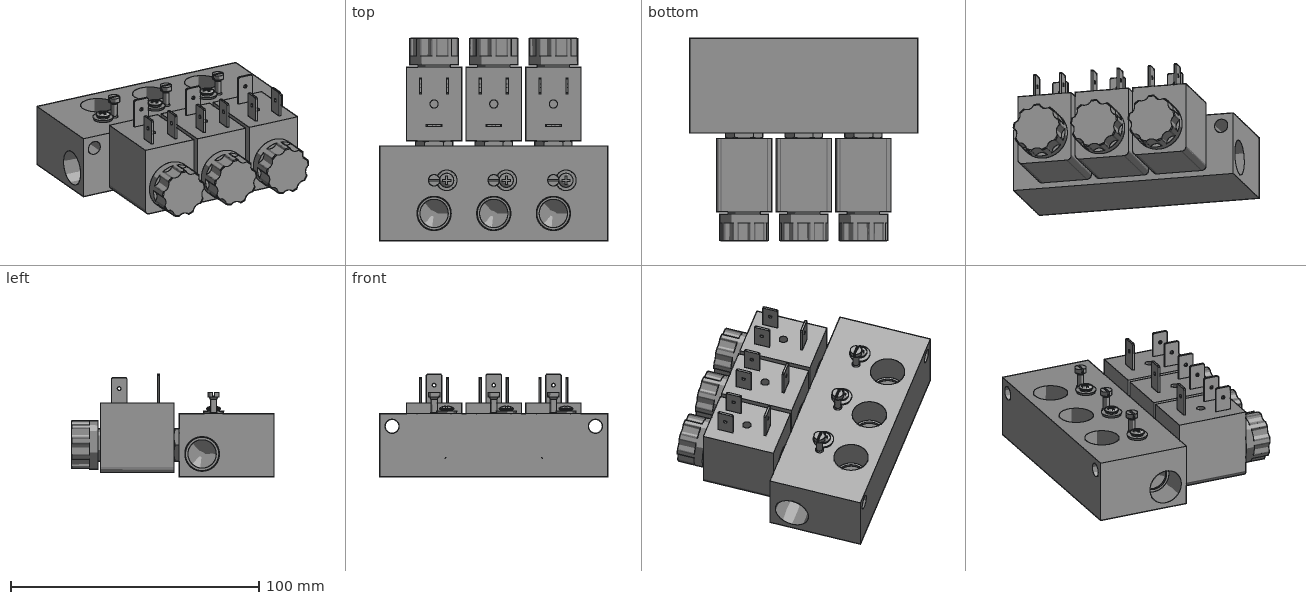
import cadquery as cq
import math

BLOCK_LENGTH = 92.1
BLOCK_DEPTH = 38.3
BLOCK_HEIGHT = 25.4
MOUNT_HOLE_DIAMETER = 5.5
MOUNT_HOLE_INSET = 5.1

STATION_COUNT = 3
STATION_PITCH = 24.0
STATION_XS = [(i - (STATION_COUNT - 1) / 2) * STATION_PITCH for i in range(STATION_COUNT)]

PORT_BORE_RADIUS = 5.7
PORT_MOUTH_DEPTH = 11.05
PORT_MOUTH_TAPER = 0.3
PORT_BORE_DEPTH = 12
DRILL_TIP_ANGLE = 118
TIP_DEPTH = PORT_BORE_RADIUS / math.tan(math.radians(DRILL_TIP_ANGLE / 2))
TOP_PORT_RADIUS = 6.9
TOP_PORT_Y = 11.05
END_PORT_RADIUS = 7.0
END_PORT_Y = 29.0
END_PORT_Z = 9.2

SOLENOID_Z = 12.8
HEX_ACROSS_FLATS = 13.2
HEX_ACROSS_CORNERS = HEX_ACROSS_FLATS / math.cos(math.pi / 6)
HEX_LENGTH = 2.0
HEX_CHAMFER = 0.5

COIL_WIDTH = 22.4
COIL_LENGTH = 29.65
COIL_BOTTOM_Z = 1.7
COIL_TOP_Z = 29.8
COIL_BOTTOM_FILLET = 1.8
COIL_FRONT_Y = BLOCK_DEPTH + HEX_LENGTH
COIL_BACK_Y = COIL_FRONT_Y + COIL_LENGTH
COIL_HOLE_DIAMETER = 3.3
COIL_HOLE_DEPTH = 7.4
COIL_HOLE_Y = COIL_FRONT_Y + COIL_LENGTH / 2

BLADE_WIDTH = 6.35
BLADE_THICKNESS = 0.8
BLADE_CHAMFER = 0.5
BLADE_HOLE_DIAMETER = 1.4
BLADE_HOLE_DROP = 4.4
SIDE_BLADE_HEIGHT = 10.1
SIDE_BLADE_OFFSET = 5.4
SIDE_BLADE_Y = 62.4
FRONT_BLADE_HEIGHT = 11.5
FRONT_BLADE_Y = 46.5

NECK_LENGTH = 0.9
KNOB_RADIUS = 9.85
KNOB_CHAMFER_LENGTH = 0.5
KNOB_CHAMFER_DEPTH = 0.2
KNOB_LENGTH = 10.8
KNOB_START_Y = COIL_BACK_Y + NECK_LENGTH
FLUTE_COUNT = 9
FLUTE_RADIUS = 2.95
FLUTE_HALF_WIDTH = 2.3
FLUTE_LENGTH = 7.3
FLUTE_EDGE_FILLET = 0.3
FLUTE_CENTRE_RADIUS = math.sqrt(KNOB_RADIUS**2 - FLUTE_HALF_WIDTH**2) + math.sqrt(
    FLUTE_RADIUS**2 - FLUTE_HALF_WIDTH**2
)

SCREW_Y = 24.4
FOOT_RADIUS = 1.7
FOOT_HEIGHT = 0.55
SHANK_RADIUS = 1.3
SHANK_TOP = 5.8
HEAD_NECK_RADIUS = 1.75
HEAD_BOTTOM = 6.7
HEAD_RADIUS = 2.3
HEAD_TOP = 8.7
SLOT_WIDTH = 0.7
SLOT_DEPTH = 1.5

LOCK_SCREW_OFFSET = 5.1
WASHER_BOTTOM_RADIUS = 3.8
WASHER_TOP_RADIUS = 4.1
WASHER_HEIGHT = 1.0
LOCK_NECK_RADIUS = 2.4
LOCK_NECK_TOP = 1.6
LOCK_HEAD_RADIUS = 2.9
LOCK_HEAD_EDGE_BOTTOM = 1.8
LOCK_HEAD_EDGE_TOP = 2.2
LOCK_HEAD_TOP = 3.1
CROSS_SPAN = 3.3
CROSS_WIDTH = 0.8
CROSS_DEPTH = 1.0


def port_cutter(mouth_radius):
    """Port shape about Z, with its mouth at Z = 0 and running down to the drill tip."""
    profile = (
        cq.Workplane("XZ")
        .lineTo(mouth_radius, 0)
        .lineTo(mouth_radius - PORT_MOUTH_TAPER, -PORT_MOUTH_DEPTH)
        .lineTo(PORT_BORE_RADIUS, -PORT_MOUTH_DEPTH)
        .lineTo(PORT_BORE_RADIUS, -PORT_BORE_DEPTH)
        .lineTo(0, -PORT_BORE_DEPTH - TIP_DEPTH)
        .close()
    )
    return profile.revolve(360, (0, 0, 0), (0, 1, 0))


def make_block():
    block = cq.Workplane().box(BLOCK_LENGTH, BLOCK_DEPTH, BLOCK_HEIGHT, centered=(True, False, False))
    mount_x = BLOCK_LENGTH / 2 - MOUNT_HOLE_INSET
    mount_z = BLOCK_HEIGHT - MOUNT_HOLE_INSET
    mount_holes = (
        cq.Workplane("XZ")
        .pushPoints([(-mount_x, mount_z), (mount_x, mount_z)])
        .circle(MOUNT_HOLE_DIAMETER / 2)
        .extrude(-BLOCK_DEPTH)
    )
    block = block.cut(mount_holes)
    for x in STATION_XS:
        block = block.cut(port_cutter(TOP_PORT_RADIUS).translate((x, TOP_PORT_Y, BLOCK_HEIGHT)))
    for side in (-1, 1):
        end_port = port_cutter(END_PORT_RADIUS).rotate((0, 0, 0), (0, 1, 0), side * 90)
        block = block.cut(end_port.translate((side * BLOCK_LENGTH / 2, END_PORT_Y, END_PORT_Z)))
    return block


def cylinder_along_y(radius, start_y, length):
    """Cylinder on the solenoid axis, starting at start_y and running toward +Y."""
    return cq.Workplane("XZ", origin=(0, start_y, SOLENOID_Z)).circle(radius).extrude(-length)


def make_hexagon():
    """Hexagon with corners on X, its corners bevelled where it meets the coil."""
    hexagon = (
        cq.Workplane("XZ", origin=(0, BLOCK_DEPTH, SOLENOID_Z))
        .polygon(6, HEX_ACROSS_CORNERS)
        .extrude(-HEX_LENGTH)
    )
    bevel = (
        cylinder_along_y(HEX_ACROSS_CORNERS / 2, BLOCK_DEPTH, HEX_LENGTH)
        .faces(">Y")
        .chamfer(HEX_CHAMFER, (HEX_ACROSS_CORNERS - HEX_ACROSS_FLATS) / 2)
    )
    return hexagon.intersect(bevel)


def make_blade(height):
    """Terminal blade facing Y, centred on X and Y and standing on Z = 0."""
    return (
        cq.Workplane()
        .box(BLADE_WIDTH, BLADE_THICKNESS, height, centered=(True, True, False))
        .faces(">Z")
        .edges("|Y")
        .chamfer(BLADE_CHAMFER)
        .cut(
            cq.Workplane("XZ")
            .center(0, height - BLADE_HOLE_DROP)
            .circle(BLADE_HOLE_DIAMETER / 2)
            .extrude(BLADE_THICKNESS, both=True)
        )
    )


def make_coil():
    coil = (
        cq.Workplane("XY", origin=(0, COIL_FRONT_Y, COIL_BOTTOM_Z))
        .box(COIL_WIDTH, COIL_LENGTH, COIL_TOP_Z - COIL_BOTTOM_Z, centered=(True, False, False))
        .faces("<Z")
        .edges("|Y")
        .fillet(COIL_BOTTOM_FILLET)
    )
    hole = (
        cq.Workplane("XY", origin=(0, COIL_HOLE_Y, COIL_TOP_Z))
        .circle(COIL_HOLE_DIAMETER / 2)
        .extrude(-COIL_HOLE_DEPTH)
    )
    coil = coil.cut(hole)
    coil = coil.union(make_blade(FRONT_BLADE_HEIGHT).translate((0, FRONT_BLADE_Y, COIL_TOP_Z)))
    side_blade = make_blade(SIDE_BLADE_HEIGHT).rotate((0, 0, 0), (0, 0, 1), 90)
    for x in (-SIDE_BLADE_OFFSET, SIDE_BLADE_OFFSET):
        coil = coil.union(side_blade.translate((x, SIDE_BLADE_Y, COIL_TOP_Z)))
    return coil


def make_knob():
    """Short neck and round knob, with one flute pointing straight down."""
    neck = cylinder_along_y(HEX_ACROSS_FLATS / 2, COIL_BACK_Y, NECK_LENGTH)
    collar_length = KNOB_LENGTH - FLUTE_LENGTH
    collar = cylinder_along_y(KNOB_RADIUS, KNOB_START_Y, collar_length)
    flutes = (
        cq.Workplane("XZ", origin=(0, KNOB_START_Y + collar_length, SOLENOID_Z))
        .polarArray(FLUTE_CENTRE_RADIUS, -90, 360, FLUTE_COUNT)
        .circle(FLUTE_RADIUS)
        .extrude(-FLUTE_LENGTH)
    )
    blank = cylinder_along_y(KNOB_RADIUS, KNOB_START_Y + collar_length, FLUTE_LENGTH)
    grip = blank.cut(flutes).edges("|Y").fillet(FLUTE_EDGE_FILLET)
    bevel = blank.faces(">Y").chamfer(KNOB_CHAMFER_DEPTH, KNOB_CHAMFER_LENGTH)
    grip = grip.intersect(bevel)
    return neck.union(collar).union(grip)


def make_adjusting_screw():
    """Slotted screw about Z, standing on Z = 0."""
    screw = (
        cq.Workplane("XZ")
        .lineTo(FOOT_RADIUS, 0)
        .lineTo(SHANK_RADIUS, FOOT_HEIGHT)
        .lineTo(SHANK_RADIUS, SHANK_TOP)
        .lineTo(HEAD_NECK_RADIUS, HEAD_BOTTOM)
        .lineTo(HEAD_RADIUS, HEAD_BOTTOM)
        .lineTo(HEAD_RADIUS, HEAD_TOP)
        .lineTo(0, HEAD_TOP)
        .close()
        .revolve(360, (0, 0, 0), (0, 1, 0))
    )
    slot = (
        cq.Workplane("XY", origin=(0, 0, HEAD_TOP))
        .rect(2 * HEAD_RADIUS, SLOT_WIDTH)
        .extrude(-SLOT_DEPTH)
    )
    return screw.cut(slot)


def make_locking_screw():
    """Domed cross-recessed screw on its washer, about Z and standing on Z = 0."""
    dome_rise = LOCK_HEAD_TOP - LOCK_HEAD_EDGE_TOP
    dome_radius = (LOCK_HEAD_RADIUS**2 + dome_rise**2) / (2 * dome_rise)
    mid_radius = LOCK_HEAD_RADIUS / 2
    mid_height = LOCK_HEAD_TOP - dome_radius + math.sqrt(dome_radius**2 - mid_radius**2)
    screw = (
        cq.Workplane("XZ")
        .lineTo(WASHER_BOTTOM_RADIUS, 0)
        .lineTo(WASHER_TOP_RADIUS, WASHER_HEIGHT)
        .lineTo(LOCK_NECK_RADIUS, WASHER_HEIGHT)
        .lineTo(LOCK_NECK_RADIUS, LOCK_NECK_TOP)
        .lineTo(LOCK_HEAD_RADIUS, LOCK_HEAD_EDGE_BOTTOM)
        .lineTo(LOCK_HEAD_RADIUS, LOCK_HEAD_EDGE_TOP)
        .threePointArc((mid_radius, mid_height), (0, LOCK_HEAD_TOP))
        .close()
        .revolve(360, (0, 0, 0), (0, 1, 0))
    )
    for length, width in ((CROSS_SPAN, CROSS_WIDTH), (CROSS_WIDTH, CROSS_SPAN)):
        arm = cq.Workplane("XY", origin=(0, 0, LOCK_HEAD_TOP)).rect(length, width).extrude(-CROSS_DEPTH)
        screw = screw.cut(arm)
    return screw


def make_station():
    """Everything that one valve adds to the block, centred on X."""
    adjusting_screw = make_adjusting_screw().translate((0, SCREW_Y, BLOCK_HEIGHT))
    locking_screw = make_locking_screw().translate((LOCK_SCREW_OFFSET, SCREW_Y, BLOCK_HEIGHT))
    solenoid = make_hexagon().union(make_coil()).union(make_knob())
    return solenoid, adjusting_screw.union(locking_screw)


result = make_block()
for station_x in STATION_XS:
    for assembly in make_station():
        result = result.union(assembly.translate((station_x, 0, 0)))